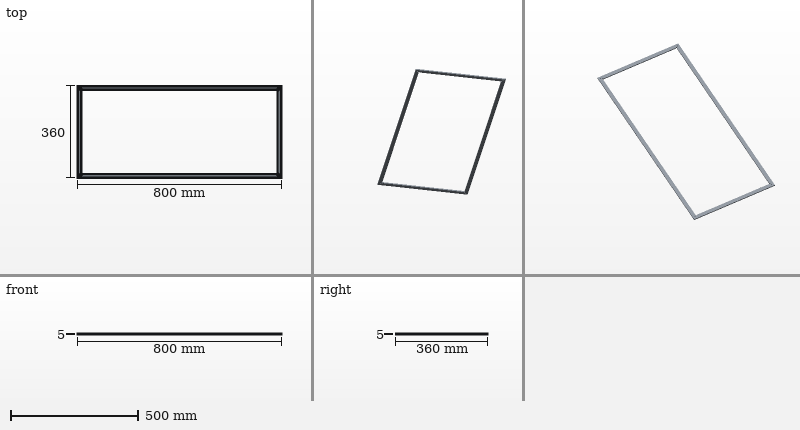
import cadquery as cq

length = 800.0
width = 360.0
thickness = 5.0
rail_width = width / 24

hole_diameter = 3.9
hole_inset = 10.0

relief_diameter = 5.0


def corner_cutters(inset, diameter):
    """Four through-cylinders, each inset equally from the two outer edges at its corner."""
    return (
        cq.Workplane("XY")
        .rect(length - 2 * inset, width - 2 * inset, forConstruction=True)
        .vertices()
        .circle(diameter / 2)
        .extrude(thickness)
    )


frame = (
    cq.Workplane("XY")
    .rect(length, width)
    .rect(length - 2 * rail_width, width - 2 * rail_width)
    .extrude(thickness)
)

corner_holes = corner_cutters(hole_inset, hole_diameter)
corner_reliefs = corner_cutters(rail_width, relief_diameter)

result = frame.cut(corner_holes).cut(corner_reliefs)